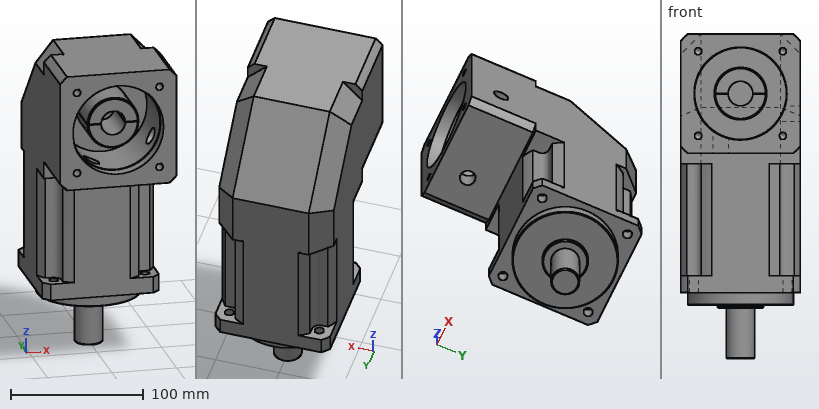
import cadquery as cq
import math


total_height = 244.8
total_depth = 143.5
side = 90.0
half_side = side / 2
flange_round_radius = 60.0

collar_bottom = 38.2
pilot_bottom = 40.5
flange_bottom = 50.0
flange_top = 62.7
pocket_top = 147.1

shaft_radius = 10.8
shaft_chamfer = 1.0
collar_radius = 17.5
collar_chamfer = 1.0
pilot_radius = 40.0
pilot_chamfer = 0.7
mount_circle_radius = 50.0
mount_hole_radius = 3.5

body_round_radius = 50.0
screw_slot_radius = 5.9
screw_slot_wall = mount_circle_radius / math.sqrt(2) - screw_slot_radius

elbow_cut = 55.3
elbow_edge_chamfer = 15.2

input_axis_z = total_height - half_side
input_face_y = half_side - total_depth
input_length = total_depth - side
tapped_circle_radius = 45.0
tapped_hole_radius = 2.7
tapped_hole_depth = 14.7
drill_tip_angle = 118.0
centring_radius = 35.0
centring_depth = 9.8
bore_radius = 34.5
bore_depth = input_length

hub_radius = 19.8
hub_chamfer = 1.0
hub_face_depth = 17.0
hub_bore_radius = 9.3
slit_width = 0.7

access_radius = 5.9
access_depth = 24.5
access_offset = 15.0


def cylinder_z(radius, bottom, top):
    return cq.Workplane("XY").workplane(offset=bottom).circle(radius).extrude(top - bottom)


def input_plane(depth):
    """Plane on the input axis, a given depth behind the input face, extruding toward +Y."""
    origin = (0, input_face_y + depth, input_axis_z)
    return cq.Workplane(cq.Plane(origin=origin, xDir=(1, 0, 0), normal=(0, 1, 0)))


def rounded_square(plane, thickness):
    """Square flange with its corners turned to a round about its centre."""
    square = plane.rect(side, side).extrude(thickness)
    return square.intersect(plane.circle(flange_round_radius).extrude(thickness))


def square_points(circle_radius):
    """Four points at 45 degrees on a circle."""
    offset = circle_radius / math.sqrt(2)
    return [(sx * offset, sy * offset) for sx in (-1, 1) for sy in (-1, 1)]


def make_elbow():
    """Upper housing: back of the top cut at 45 degrees, its back and top side edges chamfered."""
    height = total_height - pocket_top
    block = cq.Workplane("XY").workplane(offset=pocket_top).rect(side, side).extrude(height)
    block = block.edges("|X and >Y and >Z").chamfer(elbow_cut)
    outer_faces = block.faces(">Z or >Y or >(0, 1, 1)")
    return outer_faces.edges("not |X").chamfer(elbow_edge_chamfer)


def make_column():
    """Section between flange and elbow: flats, turned corners and screw clearances."""
    height = pocket_top - flange_top
    plane = cq.Workplane("XY").workplane(offset=flange_top)
    square = plane.rect(side, side).extrude(height)
    column = square.intersect(cylinder_z(body_round_radius, flange_top, pocket_top))
    clearance_size = half_side
    centre = screw_slot_wall + clearance_size / 2
    clearances = (
        plane.rect(2 * centre, 2 * centre, forConstruction=True).vertices()
        .rect(clearance_size, clearance_size).extrude(height)
        .edges("|Z").fillet(screw_slot_radius)
    )
    return column.cut(clearances)


def make_output_end():
    """Mounting flange with its holes, centring pilot, collar and shaft."""
    thickness = flange_top - flange_bottom
    flange = rounded_square(cq.Workplane("XY").workplane(offset=flange_bottom), thickness)
    holes = (
        cq.Workplane("XY").workplane(offset=flange_bottom)
        .pushPoints(square_points(mount_circle_radius))
        .circle(mount_hole_radius).extrude(thickness)
    )
    flange = flange.cut(holes)
    pilot = cylinder_z(pilot_radius, pilot_bottom, flange_bottom).faces("<Z").chamfer(pilot_chamfer)
    collar = cylinder_z(collar_radius, collar_bottom, pilot_bottom).faces("<Z").chamfer(collar_chamfer)
    shaft = cylinder_z(shaft_radius, 0, collar_bottom).faces("<Z").chamfer(shaft_chamfer)
    return flange.union(pilot).union(collar).union(shaft)


def make_hub():
    """Split clamping hub standing on the floor of the input bore."""
    length = bore_depth - hub_face_depth
    plane = input_plane(hub_face_depth)
    hub = plane.circle(hub_radius).extrude(length).faces("<Y").chamfer(hub_chamfer)
    hub = hub.cut(plane.circle(hub_bore_radius).extrude(length))
    return hub.cut(plane.rect(2 * hub_radius, slit_width).extrude(length))


def make_tapped_holes():
    """Blind holes in the input face, ending in a drill point."""
    tip_length = tapped_hole_radius / math.tan(math.radians(drill_tip_angle / 2))
    drill = (
        cq.Workplane("XY")
        .polyline([
            (0, 0),
            (tapped_hole_radius, 0),
            (tapped_hole_radius, tapped_hole_depth),
            (0, tapped_hole_depth + tip_length),
        ])
        .close().revolve(360, (0, 0), (0, 1))
    )
    holes = cq.Workplane("XY")
    for x, z in square_points(tapped_circle_radius):
        holes = holes.union(drill.translate((x, input_face_y, input_axis_z + z)))
    return holes


def make_access_holes():
    """One hole to the +X side and one to the -Z side, a quarter turn apart about the input axis."""
    y = input_face_y + access_depth
    toward_x = (
        cq.Workplane("YZ", origin=(0, y, input_axis_z - access_offset))
        .circle(access_radius).extrude(half_side)
    )
    toward_bottom = (
        cq.Workplane("XY", origin=(-access_offset, y, input_axis_z))
        .circle(access_radius).extrude(-half_side)
    )
    return toward_x.union(toward_bottom)


housing = make_elbow().union(make_column()).union(make_output_end())
housing = housing.union(rounded_square(input_plane(0), input_length))
housing = housing.cut(input_plane(0).circle(centring_radius).extrude(centring_depth))
housing = housing.cut(input_plane(0).circle(bore_radius).extrude(bore_depth))
housing = housing.cut(make_access_holes()).cut(make_tapped_holes())
result = housing.union(make_hub())